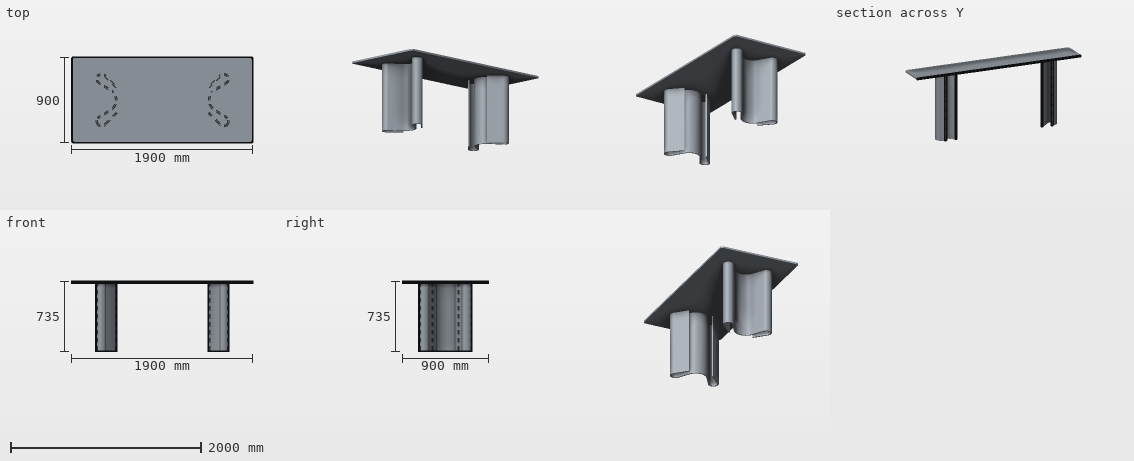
import cadquery as cq
import math

TOP_LENGTH = 1900.0
TOP_WIDTH = 900.0
TOP_THICKNESS = 19.0
TOP_CORNER_RADIUS = 23.0
TOTAL_HEIGHT = 735.0
LEG_HEIGHT = TOTAL_HEIGHT - TOP_THICKNESS

SHEET = 15.0
VALLEY_RADIUS = 114.0
CURL_RADIUS = 57.0
LEG_INNER_X = 480.0
LEG_OUTER_X = 700.0
LEG_HALF_WIDTH = 280.0
LIP_ANGLE = 135.0

VALLEY_X = LEG_INNER_X + VALLEY_RADIUS + SHEET
CURL_X = LEG_OUTER_X - CURL_RADIUS
CURL_Y = LEG_HALF_WIDTH - CURL_RADIUS

CENTRE_DISTANCE = math.hypot(CURL_X - VALLEY_X, CURL_Y)
CENTRE_ANGLE = math.degrees(math.atan2(CURL_Y, CURL_X - VALLEY_X))
WEB_ANGLE = CENTRE_ANGLE + math.degrees(math.acos((VALLEY_RADIUS + CURL_RADIUS) / CENTRE_DISTANCE))


def polar(x, y, radius, angle):
    """Point at a radius and an angle in degrees around (x, y)."""
    return x + radius * math.cos(math.radians(angle)), y + radius * math.sin(math.radians(angle))


def mirrored(point):
    return point[0], -point[1]


LIP_START_X = polar(CURL_X, CURL_Y, CURL_RADIUS, LIP_ANGLE)[0]
LIP_LENGTH = (LIP_START_X - LEG_INNER_X) / math.sin(math.radians(LIP_ANGLE))


def half_face(valley_radius, curl_radius):
    """Points along one face of the sheet, from the valley to the end of the lip at +Y."""
    web_start = polar(VALLEY_X, 0, valley_radius, WEB_ANGLE)
    web_end = polar(CURL_X, CURL_Y, curl_radius, WEB_ANGLE - 180)
    curl_middle = polar(CURL_X, CURL_Y, curl_radius, (WEB_ANGLE - 180 + LIP_ANGLE) / 2)
    lip_start = polar(CURL_X, CURL_Y, curl_radius, LIP_ANGLE)
    lip_end = polar(*lip_start, LIP_LENGTH, LIP_ANGLE + 90)
    return web_start, web_end, curl_middle, lip_start, lip_end


def make_top():
    slab = cq.Workplane("XY").workplane(offset=LEG_HEIGHT).rect(TOP_LENGTH, TOP_WIDTH).extrude(TOP_THICKNESS)
    return slab.edges("|Z").fillet(TOP_CORNER_RADIUS)


def trace_face(outline, face, valley_radius):
    """Draw a whole face of the sheet, from the lip end of the given half to the opposite lip end."""
    web_start, web_end, curl_middle, lip_start, lip_end = face
    outline = outline.lineTo(*lip_start).threePointArc(curl_middle, web_end).lineTo(*web_start)
    outline = outline.threePointArc((VALLEY_X - valley_radius, 0), mirrored(web_start))
    outline = outline.lineTo(*mirrored(web_end))
    outline = outline.threePointArc(mirrored(curl_middle), mirrored(lip_start))
    return outline.lineTo(*mirrored(lip_end))


def make_leg(turn):
    """Bent-sheet leg, turned about the table's vertical centre line."""
    back_radius = VALLEY_RADIUS + SHEET
    outside = half_face(VALLEY_RADIUS, CURL_RADIUS)
    inside = half_face(back_radius, CURL_RADIUS - SHEET)
    inside_reversed = [mirrored(point) for point in inside]
    outline = trace_face(cq.Workplane("XY").moveTo(*outside[-1]), outside, VALLEY_RADIUS)
    outline = trace_face(outline.lineTo(*inside_reversed[-1]), inside_reversed, back_radius)
    leg = outline.close().extrude(LEG_HEIGHT)
    return leg.rotate((0, 0, 0), (0, 0, 1), turn)


table_top = make_top()
legs = [make_leg(turn) for turn in (0, 180)]

result = cq.Compound.makeCompound([table_top.val(), *[leg.val() for leg in legs]])